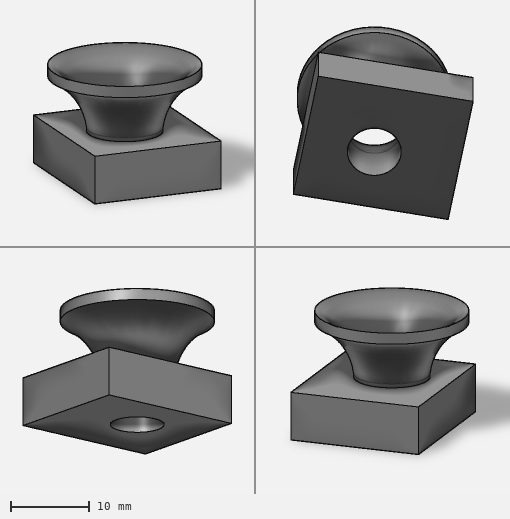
import cadquery as cq

total_length = 20.82
total_height = 15.12

base_length = 20.0
base_width = 17.4
base_height = 6.33
base_offset_y = 0.77

rim_radius = 19.61 / 2
rim_height = 1.48
neck_radius = 9.75 / 2
neck_height = 0.48
throat_depth = 0.48
bore_radius = 6.83 / 2

outer_flare_radius = 6.41
outer_flare_height = 4.48
inner_flare_radius = 5.66
inner_flare_height = 5.5

base_center_x = rim_radius - total_length + base_length / 2
neck_top = base_height + neck_height
throat_bottom = base_height - throat_depth
rim_bottom = total_height - rim_height


def make_base():
    outline = cq.Workplane("XY").center(base_center_x, base_offset_y).rect(base_length, base_width)
    return outline.extrude(base_height)


def revolve_profile(profile):
    return profile.close().revolve(360, (0, 0, 0), (0, 1, 0))


def make_horn():
    """Solid bell: straight neck, arched outer wall and cylindrical rim."""
    profile = (
        cq.Workplane("XZ")
        .moveTo(0, base_height)
        .lineTo(neck_radius, base_height)
        .lineTo(neck_radius, neck_top)
        .threePointArc(
            (outer_flare_radius, base_height + outer_flare_height),
            (rim_radius, rim_bottom),
        )
        .lineTo(rim_radius, total_height)
        .lineTo(0, total_height)
    )
    return revolve_profile(profile)


def make_throat():
    """Through opening: straight bore in the base, flaring to a sharp upper lip."""
    profile = (
        cq.Workplane("XZ")
        .lineTo(bore_radius, 0)
        .lineTo(bore_radius, throat_bottom)
        .threePointArc(
            (inner_flare_radius, base_height + inner_flare_height),
            (rim_radius, total_height),
        )
        .lineTo(0, total_height)
    )
    return revolve_profile(profile)


result = make_base().union(make_horn()).cut(make_throat())